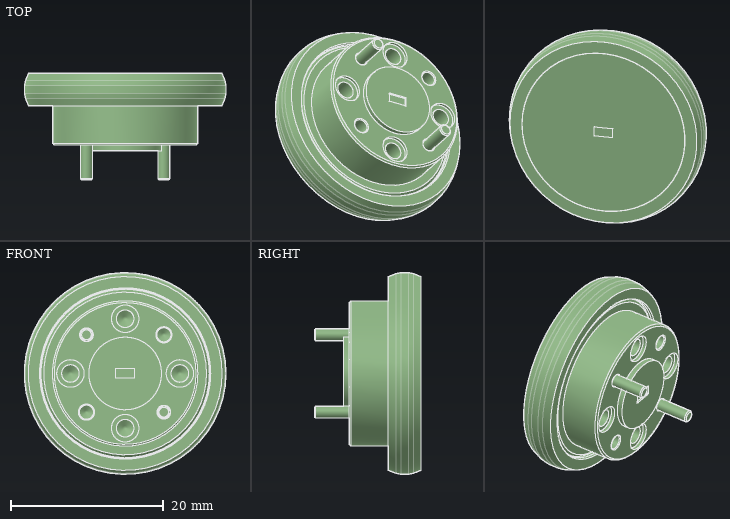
import cadquery as cq
import math


ring_radius = 13.2
ring_width = 4.3
crown_land_width = 1.03
inner_bevel_width = 0.63
inner_bevel_drop = 0.13
ring_face_radius = 12.68
ring_bore_radius = 11.07
ring_bore_chamfer = 0.13
ring_bore_chamfer_depth = 0.26

hub_radius = 9.5
hub_front = 9.43
hub_chamfer = 0.25
shoulder_radius = 11.05
shoulder_front = 4.05
shoulder_chamfer = 0.4
boss_radius = 4.75
boss_front = 10.17

hole_circle_radius = 7.15
screw_hole_angles = (0, 90, 180, 270)
pin_socket_angles = (45, 225)
pin_angles = (135, 315)
screw_hole_diameter = 2.3
counterbore_diameter = 3.6
counterbore_depth = 0.5
screw_hole_depth = 4.75
pin_socket_diameter = 1.85
pin_socket_chamfer = 0.13
pin_socket_depth = 3.17
drill_point_angle = 118.0

pin_diameter = 1.59
pin_tip = 13.98
pin_tip_chamfer = 0.15
pin_seat_depth = 3.17
pin_seat_chamfer = 0.1

waveguide_width = 2.5
waveguide_height = 1.25
plug_recess = 0.26


def turned(points):
    """Revolve a (radius, distance in front of the back face) outline about the Y axis."""
    outline = [(radius, -distance) for radius, distance in points]
    return cq.Workplane("XY").polyline(outline).close().revolve(360, (0, 0), (0, 1))


def rod(diameter, start, end):
    """Cylinder along Y between two distances in front of the back face."""
    return turned([(0, start), (diameter / 2, start), (diameter / 2, end), (0, end)])


def on_hole_circle(angle):
    """Offset of a point on the hole circle, angle in degrees from +X toward +Z."""
    turn = math.radians(angle)
    return (hole_circle_radius * math.cos(turn), 0, hole_circle_radius * math.sin(turn))


def drilled_hole(diameter, depth):
    """Cutter for a hole from the hub face with a conical drill point."""
    radius = diameter / 2
    floor = hub_front - depth
    point = floor - radius / math.tan(math.radians(drill_point_angle / 2))
    return turned([(0, point), (radius, floor), (radius, hub_front), (0, hub_front)])


def countersink(diameter, chamfer):
    """Cutter for a 45 degree chamfer at the mouth of a hole in the hub face."""
    radius = diameter / 2
    return turned([
        (0, hub_front - chamfer),
        (radius, hub_front - chamfer),
        (radius + chamfer, hub_front),
        (0, hub_front),
    ])


def waveguide_block(front):
    """Rectangular bar from the back face to the given distance in front of it."""
    return cq.Workplane("XZ").rect(waveguide_width, waveguide_height).extrude(front)


def make_coupling_ring():
    """Barrel-shaped ring, bevelled twice on each side of a central land."""
    middle = ring_width / 2
    land = crown_land_width / 2
    bevel = land + inner_bevel_width
    bevel_radius = ring_radius - inner_bevel_drop
    return turned([
        (ring_bore_radius, 0),
        (ring_face_radius, 0),
        (bevel_radius, middle - bevel),
        (ring_radius, middle - land),
        (ring_radius, middle + land),
        (bevel_radius, middle + bevel),
        (ring_face_radius, ring_width),
        (ring_bore_radius + ring_bore_chamfer, ring_width),
        (ring_bore_radius, ring_width - ring_bore_chamfer_depth),
    ])


def make_hub():
    """Stepped hub with its shoulder inside the ring, and the holes in its front face."""
    hub = turned([
        (0, 0),
        (shoulder_radius, 0),
        (shoulder_radius, shoulder_front - shoulder_chamfer),
        (shoulder_radius - shoulder_chamfer, shoulder_front),
        (hub_radius, shoulder_front),
        (hub_radius, hub_front - hub_chamfer),
        (hub_radius - hub_chamfer, hub_front),
        (boss_radius, hub_front),
        (boss_radius, boss_front),
        (0, boss_front),
    ])
    screw_hole = drilled_hole(screw_hole_diameter, screw_hole_depth)
    counterbore = rod(counterbore_diameter, hub_front - counterbore_depth, hub_front)
    for angle in screw_hole_angles:
        hub = hub.cut(screw_hole.translate(on_hole_circle(angle)))
        hub = hub.cut(counterbore.translate(on_hole_circle(angle)))

    pin_socket = drilled_hole(pin_socket_diameter, pin_socket_depth)
    socket_mouth = countersink(pin_socket_diameter, pin_socket_chamfer)
    for angle in pin_socket_angles:
        hub = hub.cut(pin_socket.translate(on_hole_circle(angle)))
        hub = hub.cut(socket_mouth.translate(on_hole_circle(angle)))

    pin_seat = rod(pin_diameter, hub_front - pin_seat_depth, hub_front)
    seat_mouth = countersink(pin_diameter, pin_seat_chamfer)
    for angle in pin_angles:
        hub = hub.cut(pin_seat.translate(on_hole_circle(angle)))
        hub = hub.cut(seat_mouth.translate(on_hole_circle(angle)))

    return hub.cut(waveguide_block(boss_front))


def make_plug():
    """Bar that fills the waveguide opening up to a shallow recess in the boss face."""
    return waveguide_block(boss_front - plug_recess)


def make_pin(angle):
    """Dowel pin seated in the hub face, chamfered at its tip."""
    pin = rod(pin_diameter, hub_front - pin_seat_depth, pin_tip)
    return pin.faces("<Y").chamfer(pin_tip_chamfer).translate(on_hole_circle(angle))


coupling_ring = make_coupling_ring()
hub = make_hub()
plug = make_plug()
pins = [make_pin(angle) for angle in pin_angles]

result = cq.Compound.makeCompound([
    coupling_ring.val(),
    hub.val(),
    plug.val(),
    *[pin.val() for pin in pins],
])